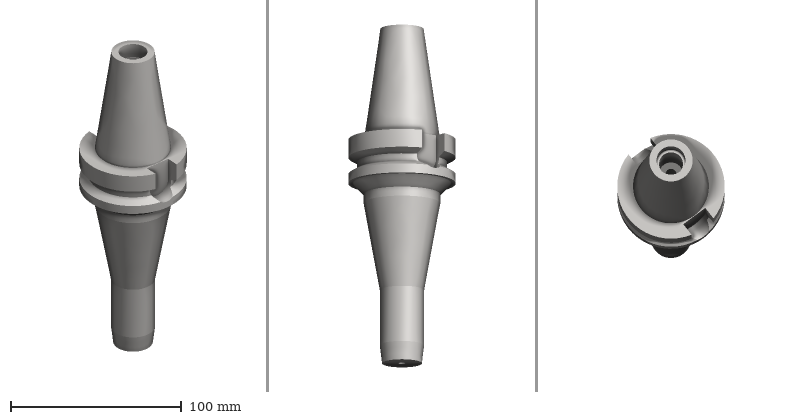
import cadquery as cq
import math


taper_length = 65.4
gauge_radius = 44.45 / 2
taper_ratio = 7 / 24
taper_tip_radius = gauge_radius - taper_length * taper_ratio / 2

flange_radius = 63.0 / 2
upper_rim_z = -1.0
lower_rim_z = -27.0

groove_center_z = -16.6
groove_root_radius = 53.0 / 2
groove_root_width = 4.2
groove_flank_angle = 30.0
groove_flank_height = (flange_radius - groove_root_radius) * math.tan(math.radians(groove_flank_angle))
groove_root_top_z = groove_center_z + groove_root_width / 2
groove_root_bottom_z = groove_center_z - groove_root_width / 2

total_length = 200.1
bottom_z = taper_length - total_length
body_radius = 45.0 / 2
body_top_z = -33.6
body_bottom_z = -39.0
shoulder_radius = body_radius + (lower_rim_z - body_top_z)
shank_radius = 26.0 / 2
shank_top_z = -91.0
nose_radius = 23.4 / 2
nose_top_z = -124.0

slot_width = 16.2
slot_radius = slot_width / 2
slot_floor_x = 22.5
slot_bottom_z = -22.9

pilot_radius = 17.0 / 2
pilot_depth = 9.0
stud_radius = 14.0 / 2
stud_depth = 35.0
channel_radius = 6.4 / 2
channel_depth = 100.0
throat_radius = 5.0 / 2
throat_depth = 160.0
outlet_radius = 4.4 / 2


def turned_body():
    """Revolve the outer half profile about Z."""
    return (
        cq.Workplane("YZ")
        .moveTo(0, taper_length)
        .lineTo(taper_tip_radius, taper_length)
        .lineTo(gauge_radius, 0)
        .lineTo(gauge_radius, upper_rim_z)
        .lineTo(flange_radius, upper_rim_z)
        .lineTo(flange_radius, groove_root_top_z + groove_flank_height)
        .lineTo(groove_root_radius, groove_root_top_z)
        .lineTo(groove_root_radius, groove_root_bottom_z)
        .lineTo(flange_radius, groove_root_bottom_z - groove_flank_height)
        .lineTo(flange_radius, lower_rim_z)
        .lineTo(shoulder_radius, lower_rim_z)
        .lineTo(body_radius, body_top_z)
        .lineTo(body_radius, body_bottom_z)
        .lineTo(shank_radius, shank_top_z)
        .lineTo(shank_radius, nose_top_z)
        .lineTo(nose_radius, bottom_z)
        .lineTo(0, bottom_z)
        .close()
        .revolve(360, (0, 0, 0), (0, 1, 0))
    )


def drive_slot(side):
    """Round-bottomed slot cutter outside the flat slot floor; side is -1 or +1 along X."""
    arc_center_z = slot_bottom_z + slot_radius
    return (
        cq.Workplane("YZ", origin=(side * slot_floor_x, 0, 0))
        .moveTo(-slot_radius, upper_rim_z)
        .lineTo(-slot_radius, arc_center_z)
        .threePointArc((0, slot_bottom_z), (slot_radius, arc_center_z))
        .lineTo(slot_radius, upper_rim_z)
        .close()
        .extrude(side * flange_radius)
    )


def bore(radius, depth):
    """Cylinder on the axis, reaching down from the taper tip."""
    return cq.Workplane("XY", origin=(0, 0, taper_length)).circle(radius).extrude(-depth)


result = turned_body()
for side in (-1, 1):
    result = result.cut(drive_slot(side))

bore_steps = (
    (pilot_radius, pilot_depth),
    (stud_radius, stud_depth),
    (channel_radius, channel_depth),
    (throat_radius, throat_depth),
    (outlet_radius, total_length),
)
for radius, depth in bore_steps:
    result = result.cut(bore(radius, depth))